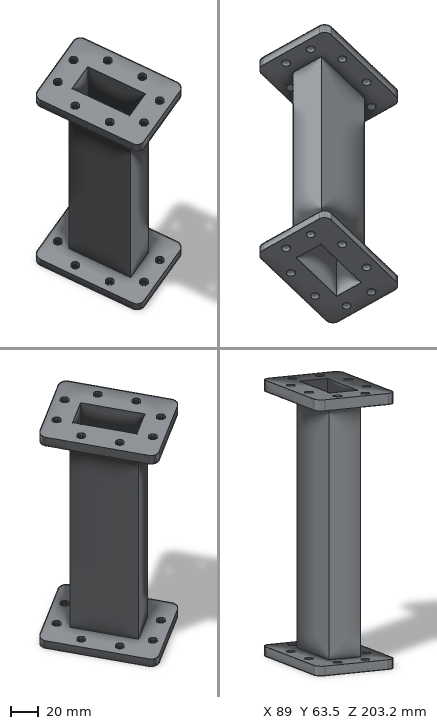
import cadquery as cq

length = 203.2
flange_width = 89.0
flange_depth = 63.5
corner_radius = 6.0
top_flange_thickness = 8.1
bottom_flange_thickness = 7.1

bore_width = 48.0
bore_depth = 22.4
wall = 1.6
tube_width = bore_width + 2 * wall
tube_depth = bore_depth + 2 * wall

hole_diameter = 6.3
end_pair_x = 36.0
end_pair_spacing = 22.5
side_pair_y = 23.4
side_pair_spacing = 28.9


def hole_positions():
    positions = []
    for sign_x in (-1, 1):
        for sign_y in (-1, 1):
            positions.append((sign_x * end_pair_x, sign_y * end_pair_spacing / 2))
            positions.append((sign_x * side_pair_spacing / 2, sign_y * side_pair_y))
    return positions


def flange(bottom_z, thickness):
    plate = (
        cq.Workplane("XY", origin=(0, 0, bottom_z))
        .rect(flange_width, flange_depth)
        .extrude(thickness)
        .edges("|Z")
        .fillet(corner_radius)
    )
    holes = (
        cq.Workplane("XY", origin=(0, 0, bottom_z))
        .pushPoints(hole_positions())
        .circle(hole_diameter / 2)
        .extrude(thickness)
    )
    return plate.cut(holes)


tube = cq.Workplane("XY").rect(tube_width, tube_depth).extrude(length)
bore = cq.Workplane("XY").rect(bore_width, bore_depth).extrude(length)
bottom_flange = flange(0, bottom_flange_thickness)
top_flange = flange(length - top_flange_thickness, top_flange_thickness)

result = tube.union(bottom_flange).union(top_flange).cut(bore)